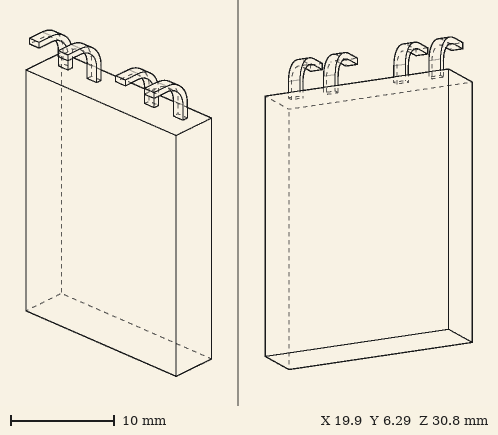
import cadquery as cq

body_width = 19.91
body_depth = 5.0
body_height = 26.2

lead_width = 1.27
lead_thickness = 0.64
lead_rise = 4.55
lead_reach = 4.69
lead_back_inset = 1.6
bend_outer_radius = 2.9
bend_inner_radius = bend_outer_radius - lead_thickness

lead_pitch = 3.81
lead_grid_positions = (-2, -1, 1, 2)


def make_body():
    """Block centred in X and Y, with its bottom face at Z = 0."""
    return cq.Workplane("XY").box(body_width, body_depth, body_height, centered=(True, True, False))


def make_lead(center_x):
    """Bent strip: vertical leg, quarter-round bend, horizontal leg toward -Y."""
    back_y = body_depth / 2 - lead_back_inset
    front_y = back_y - lead_thickness
    tip_y = back_y - lead_reach
    bend_center_y = back_y - bend_outer_radius
    base_z = body_height
    top_z = base_z + lead_rise
    under_z = top_z - lead_thickness
    bend_center_z = top_z - bend_outer_radius

    profile = (
        cq.Workplane("YZ", origin=(center_x, 0, 0))
        .moveTo(back_y, base_z)
        .lineTo(back_y, bend_center_z)
        .radiusArc((bend_center_y, top_z), -bend_outer_radius)
        .lineTo(tip_y, top_z)
        .lineTo(tip_y, under_z)
        .lineTo(bend_center_y, under_z)
        .radiusArc((front_y, bend_center_z), bend_inner_radius)
        .lineTo(front_y, base_z)
        .close()
    )
    return profile.extrude(lead_width / 2, both=True)


result = make_body()
for grid_position in lead_grid_positions:
    result = result.union(make_lead(grid_position * lead_pitch))